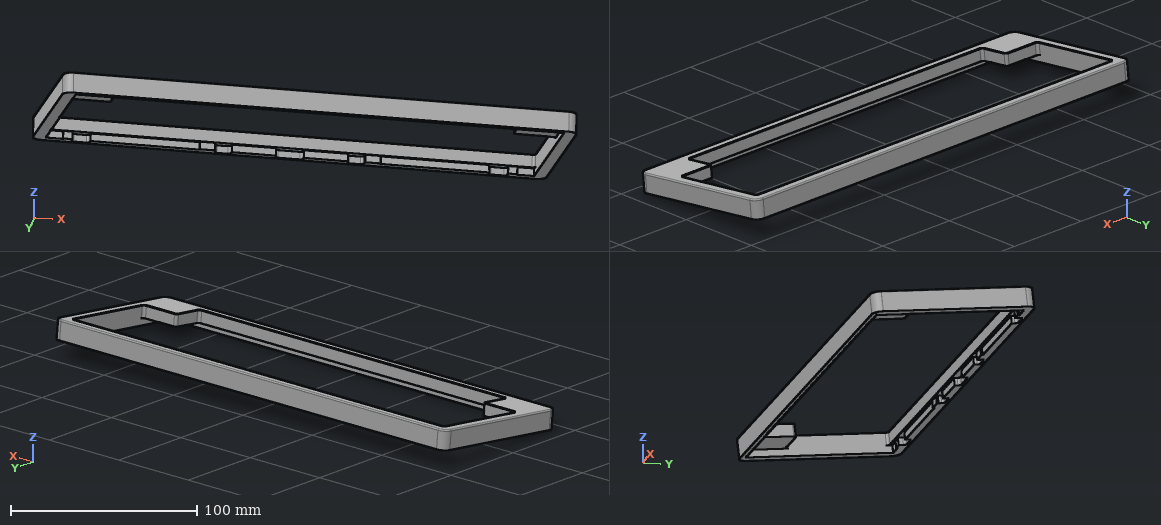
import cadquery as cq
width = 281.6
depth = 91.0
thickness = 11.5
tilt_angle = 6.5
corner_radius = 5.0
top_fillet = 0.82

rim_width = 7.0
pad_width = 23.5
pad_depth = 18.5
window_radius = 1.55
window_chamfer = 0.3

relief_height = 4.2
front_wall = 3.0
shallow_reach = 1.7
deep_reach = 5.0
lug_setback = 0.8
notch_radius = 1.55
middle_notch_width = 15.2
side_notches = ((36.3, 9.0), (114.3, 10.0))
lugs = ((45.3, 8.5), (121.5, 6.2))

window_half = width / 2 - rim_width
pad_edge = window_half - pad_width
pad_back = rim_width + pad_depth
window_back = depth - rim_width


def block(x_middle, x_size, y_front, y_back, height):
    """Box standing on the underside plane."""
    box = cq.Workplane("XY").rect(x_size, y_back - y_front).extrude(height)
    return box.translate((x_middle, (y_front + y_back) / 2, 0))


def make_slab():
    """Plate with rounded corners and a rounded top edge."""
    slab = block(0, width, 0, depth, thickness).edges("|Z").fillet(corner_radius)
    return slab.faces(">Z").edges().fillet(top_fillet)


def make_window():
    """T-shaped opening with rounded corners."""
    outline = [
        (-window_half, window_back),
        (-window_half, pad_back),
        (-pad_edge, pad_back),
        (-pad_edge, rim_width),
        (pad_edge, rim_width),
        (pad_edge, pad_back),
        (window_half, pad_back),
        (window_half, window_back),
    ]
    opening = cq.Workplane("XY").polyline(outline).close().extrude(thickness)
    return opening.edges("|Z").fillet(window_radius)


def make_relief():
    """Shallow pocket in the underside, notched and lugged along the back rim."""
    shallow_back = window_back + shallow_reach
    deep_back = window_back + deep_reach
    lug_front = window_back + lug_setback
    relief = block(0, 2 * window_half, front_wall, shallow_back, relief_height)

    for side in (-1, 1):
        for distance, lug_width in lugs:
            relief = relief.cut(block(side * distance, lug_width, lug_front, shallow_back, relief_height))

    notches = [(0, middle_notch_width)]
    notches += [(side * distance, size) for side in (-1, 1) for distance, size in side_notches]
    for x_middle, notch_width in notches:
        notch = block(x_middle, notch_width, window_back, deep_back, relief_height)
        relief = relief.union(notch.edges("|Z and >Y").fillet(notch_radius))
    return relief


frame = make_slab().cut(make_window())
margin = window_chamfer
window_rim = cq.selectors.BoxSelector(
    (-window_half - margin, rim_width - margin, thickness - margin),
    (window_half + margin, window_back + margin, thickness + margin),
)
frame = frame.faces(">Z").edges(window_rim).chamfer(window_chamfer)
frame = frame.cut(make_relief())

result = frame.rotate((0, 0, 0), (1, 0, 0), tilt_angle)